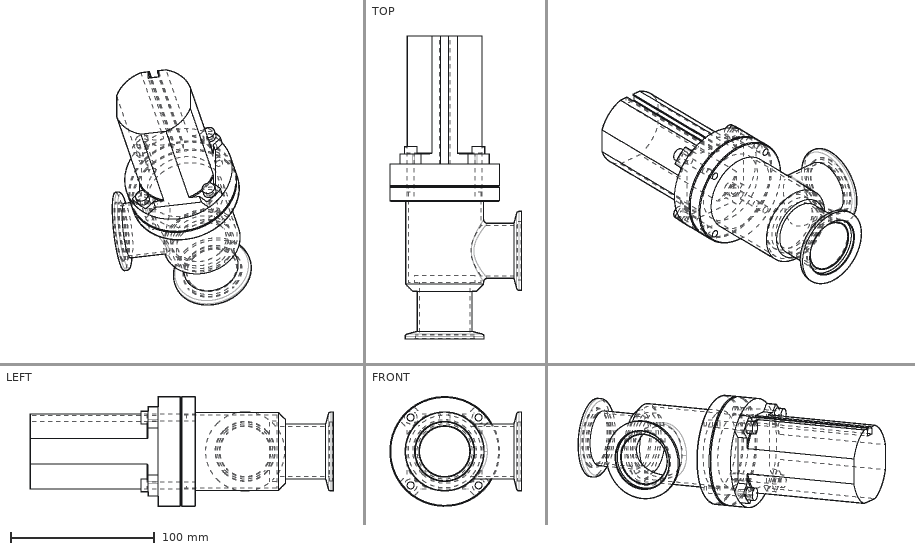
import cadquery as cq
import math

LENGTH = 210.7

TUBE_R = 19.2
BORE_R = 17.5
RIM_R = 27.5
RIM_THICKNESS = 3.2
RIM_ROUND = 2.0
RIM_TAPER = 15.0
RECESS_R = 20.5
RECESS_DEPTH = 2.7
EDGE_BREAK = 0.5

CHAMBER_START = 33.0
CHAMBER_R = 27.2
CHAMBER_WALL = 2.0
CHAMBER_CHAMFER = 5.0
SEAT_THICKNESS = 6.1
PORT_Y = 61.3
PORT_FACE_X = 53.5
PORT_FILLET = 2.5

FLANGE_R = 38.1
FLANGE_START = 95.7
JOINT_Y = 106.0
BONNET_END = 121.8
FLANGE_CHAMFER = 0.6

POPPET_R = 21.0
POPPET_THICKNESS = 5.0

HOUSING_R = 27.5
HOUSING_HALF_FLAT = 26.1
COLLAR_END = 128.7
COLLAR_FILLET = 0.6
ARM_END_R = FLANGE_R
ARM_WIDTH = 14.0
ARM_ROUND = 1.0
SLOT_WIDTH = 5.7
SLOT_DEPTH = 5.3
SLOT_LIP = 1.0
SLOT_UNDERCUT = 0.8

SCREW_OFFSET = 23.5
SCREW_R = 2.42
SCREW_LENGTH = 26.5
HEAD_R = 4.5
HEAD_HEIGHT = 5.0

SEAT_Y = CHAMBER_START + SEAT_THICKNESS
SCREW_POSITIONS = [(sx * SCREW_OFFSET, sz * SCREW_OFFSET) for sx in (-1, 1) for sz in (-1, 1)]

MARGIN = 0.2


def cylinder(radius, start, end):
    """Cylinder on the main axis between two Y positions."""
    return cq.Workplane("XZ", origin=(0, start, 0)).circle(radius).extrude(start - end)


def box_along_y(width, height, start, end):
    """Box centred on the main axis between two Y positions."""
    return cq.Workplane("XZ", origin=(0, start, 0)).rect(width, height).extrude(start - end)


def screw_cylinder(x, z, radius, start, end):
    """Cylinder parallel to the main axis, centred on a screw position."""
    return cylinder(radius, start, end).translate((x, 0, z))


def edges_between(start, end, half_height, half_width):
    """Selector for edges lying wholly inside a box around the main axis."""
    low = (-half_width - MARGIN, start - MARGIN, -half_height - MARGIN)
    high = (half_width + MARGIN, end + MARGIN, half_height + MARGIN)
    return cq.selectors.BoxSelector(low, high, boundingbox=True)


def tube_end(length):
    """Solid tube with a tapered clamp rim; its face lies at y = 0."""
    taper_end = RIM_THICKNESS + (RIM_R - TUBE_R) * math.tan(math.radians(RIM_TAPER))
    rim = (
        cq.Workplane("XY")
        .moveTo(0, 0)
        .lineTo(RIM_R, 0)
        .lineTo(RIM_R, RIM_THICKNESS)
        .lineTo(TUBE_R, taper_end)
        .lineTo(0, taper_end)
        .close()
        .revolve(360, (0, 0, 0), (0, 1, 0))
    )
    rim = rim.edges(edges_between(RIM_THICKNESS, RIM_THICKNESS, RIM_R, RIM_R)).fillet(RIM_ROUND)
    return rim.union(cylinder(TUBE_R, 0, length))


def countersink(radius, mouth):
    """Conical edge break that opens a bore of the given radius at its mouth."""
    cone = cq.Solid.makeCone(
        radius + EDGE_BREAK, radius, EDGE_BREAK, cq.Vector(0, mouth, 0), cq.Vector(0, 1, 0)
    )
    return cq.Workplane(cone)


def tube_bore(length):
    """Bore with a wider recess in the clamp face, both with broken edges."""
    bore = cylinder(BORE_R, 0, length).union(cylinder(RECESS_R, 0, RECESS_DEPTH))
    for radius, mouth in ((RECESS_R, 0), (BORE_R, RECESS_DEPTH)):
        bore = bore.union(countersink(radius, mouth))
    return bore


def to_side_port(shape):
    """Turn a shape built along +Y so that its face looks out of the side port."""
    return shape.rotate((0, 0, 0), (0, 0, 1), 90).translate((PORT_FACE_X, PORT_Y, 0))


def make_valve_body():
    """Hollow chamber with an inlet, a side port and a bolted flange."""
    chamber = cylinder(CHAMBER_R, CHAMBER_START, JOINT_Y)
    chamber = chamber.faces("<Y").chamfer(CHAMBER_CHAMFER)
    body = chamber.union(to_side_port(tube_end(PORT_FACE_X)))
    saddle = edges_between(PORT_Y - TUBE_R, PORT_Y + TUBE_R, TUBE_R, CHAMBER_R)
    body = body.edges(saddle).fillet(PORT_FILLET)
    body = body.union(tube_end(CHAMBER_START))
    flange = cylinder(FLANGE_R, FLANGE_START, JOINT_Y).faces("<Y or >Y").chamfer(FLANGE_CHAMFER)
    body = body.union(flange)
    body = body.cut(tube_bore(SEAT_Y))
    body = body.cut(to_side_port(tube_bore(PORT_FACE_X)))
    body = body.cut(cylinder(CHAMBER_R - CHAMBER_WALL, SEAT_Y, JOINT_Y))
    for x, z in SCREW_POSITIONS:
        body = body.cut(screw_cylinder(x, z, SCREW_R, FLANGE_START, JOINT_Y))
    return body


def make_poppet():
    """Plain disc resting on the chamber floor and closing the inlet bore."""
    return cylinder(POPPET_R, SEAT_Y, SEAT_Y + POPPET_THICKNESS)


def make_bonnet_plate():
    """Round plate that closes the chamber."""
    plate = cylinder(FLANGE_R, JOINT_Y, BONNET_END).faces("<Y").chamfer(FLANGE_CHAMFER)
    for x, z in SCREW_POSITIONS:
        plate = plate.cut(screw_cylinder(x, z, SCREW_R, JOINT_Y, BONNET_END))
    return plate


def housing_profile():
    """Cross-section limits of the housing: a square with four rounded diagonal arms."""
    flat_to_flat = 2 * HOUSING_HALF_FLAT
    profile = box_along_y(flat_to_flat, flat_to_flat, BONNET_END, LENGTH)
    for angle in (45, -45):
        arms = box_along_y(2 * FLANGE_R, ARM_WIDTH, BONNET_END, LENGTH)
        arms = arms.intersect(cylinder(ARM_END_R, BONNET_END, LENGTH)).edges("|Y").fillet(ARM_ROUND)
        profile = profile.union(arms.rotate((0, 0, 0), (0, 1, 0), angle))
    return profile


def housing_slot():
    """Undercut slot open to the top flat over the whole housing length."""
    mouth = box_along_y(SLOT_WIDTH, 2 * SLOT_DEPTH, BONNET_END, LENGTH)
    cavity_height = SLOT_DEPTH - SLOT_LIP
    cavity = box_along_y(SLOT_WIDTH + 2 * SLOT_UNDERCUT, cavity_height, BONNET_END, LENGTH)
    cavity = cavity.translate((0, 0, -SLOT_LIP - cavity_height / 2))
    return mouth.union(cavity).translate((0, 0, HOUSING_HALF_FLAT))


def make_actuator_housing():
    """Round housing with flats, on a low collar whose arms carry the screws."""
    housing = cylinder(ARM_END_R, BONNET_END, COLLAR_END).union(cylinder(HOUSING_R, COLLAR_END, LENGTH))
    collar_corner = edges_between(COLLAR_END, COLLAR_END, HOUSING_R, HOUSING_R)
    housing = housing.edges(collar_corner).fillet(COLLAR_FILLET)
    housing = housing.intersect(housing_profile())
    housing = housing.cut(housing_slot())
    for x, z in SCREW_POSITIONS:
        housing = housing.cut(screw_cylinder(x, z, SCREW_R, BONNET_END, COLLAR_END))
        housing = housing.cut(screw_cylinder(x, z, HEAD_R, COLLAR_END, COLLAR_END + HEAD_HEIGHT))
    return housing


def make_screw(x, z):
    """Cap screw that ends inside its hole in the valve body flange."""
    shank = screw_cylinder(x, z, SCREW_R, COLLAR_END - SCREW_LENGTH, COLLAR_END)
    return shank.union(screw_cylinder(x, z, HEAD_R, COLLAR_END, COLLAR_END + HEAD_HEIGHT))


valve_body = make_valve_body()
poppet = make_poppet()
bonnet_plate = make_bonnet_plate()
actuator_housing = make_actuator_housing()
screws = [make_screw(x, z) for x, z in SCREW_POSITIONS]

result = cq.Compound.makeCompound(
    [
        valve_body.val(),
        poppet.val(),
        bonnet_plate.val(),
        actuator_housing.val(),
        *[screw.val() for screw in screws],
    ]
)